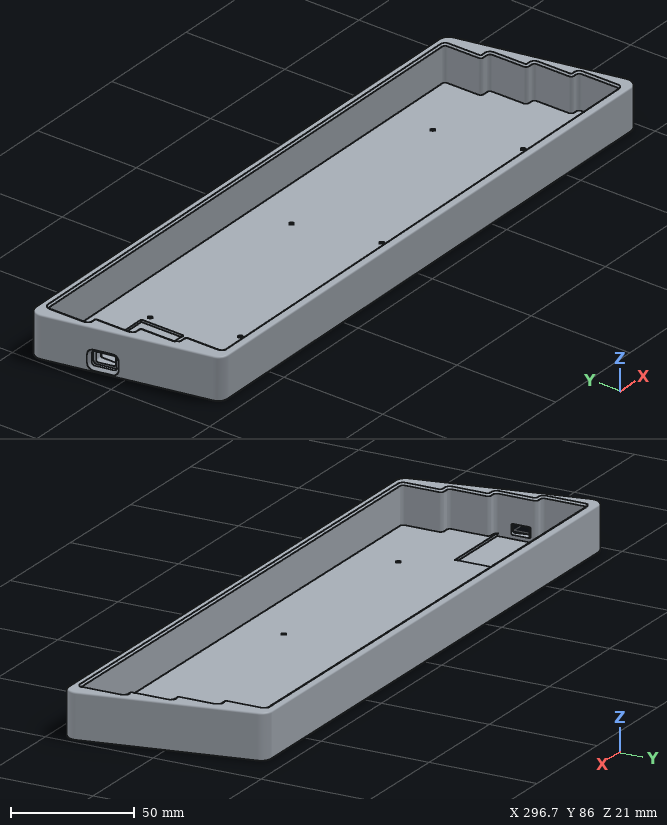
import cadquery as cq
import math

length = 296.7
width = 86.0
height = 21.0
slant = 17.2
corner_radius = 5.0
edge_radius = 1.0

wall = 4.2
floor = 3.0
cavity_radius = 1.5
rim_chamfer = 1.0
step_x = [-141.0, -136.5, -131.8, -126.5]
step_y = [18.0, -1.2, -20.2]

hole_diameter = 2.0
counterbore_diameter = 4.0
counterbore_depth = 2.5
hole_pitch = 95.3
hole_row_y = 19.3
back_row_x = -2.7
front_row_x = 6.8

pocket_left = step_x[1]
pocket_length = 35.0
pocket_back = 21.0
pocket_width = 21.5
pocket_depth = 1.2

port_y = 9.5
port_z = 6.0
recess_width = 14.2
recess_height = 9.8
recess_radius = 3.0
recess_bevel = 1.5
recess_depth = 3.0
opening_width = 9.0
opening_height = 4.7
opening_radius = 1.0

acute_angle = math.atan2(width, slant)
tangent_length = corner_radius / math.tan(acute_angle / 2)
sharp_half_length = length / 2 + tangent_length - corner_radius


def tray_blank():
    back, front = width / 2, -width / 2
    corners = [
        (-sharp_half_length, back),
        (sharp_half_length - slant, back),
        (sharp_half_length, front),
        (-sharp_half_length + slant, front),
    ]
    blank = cq.Workplane("XY").polyline(corners).close().extrude(height)
    blank = blank.edges("|Z").fillet(corner_radius)
    return blank.faces("<Z or >Z").edges().fillet(edge_radius)


def cavity():
    half_depth = width / 2 - wall
    levels = [half_depth] + step_y + [-half_depth]
    left_side = []
    for x, top, bottom in zip(step_x, levels, levels[1:]):
        left_side += [(x, top), (x, bottom)]
    right_side = [(-x, -y) for x, y in left_side]
    tool = cq.Workplane("XY").workplane(offset=floor).polyline(left_side + right_side).close()
    return tool.extrude(height - floor).edges("|Z").fillet(cavity_radius)


def chamfer_rim(tray):
    margin = wall / 4
    half_x = margin - step_x[0]
    half_y = margin + width / 2 - wall
    mouth = cq.selectors.BoxSelector(
        (-half_x, -half_y, height - margin),
        (half_x, half_y, height + margin),
    )
    return tray.faces(">Z").edges(mouth).chamfer(rim_chamfer)


def screw_holes():
    centres = []
    for middle_x, y in ((back_row_x, hole_row_y), (front_row_x, -hole_row_y)):
        centres += [(middle_x + i * hole_pitch, y) for i in (-1, 0, 1)]
    points = cq.Workplane("XY").pushPoints(centres)
    shanks = points.circle(hole_diameter / 2).extrude(floor)
    heads = points.circle(counterbore_diameter / 2).extrude(counterbore_depth)
    return shanks.union(heads)


def board_pocket():
    centre = (pocket_left + pocket_length / 2, pocket_back - pocket_width / 2)
    plane = cq.Workplane("XY").workplane(offset=floor - pocket_depth)
    return plane.center(*centre).rect(pocket_length, pocket_width).extrude(pocket_depth)


def rounded_rectangle(across, tall, radius):
    return cq.Sketch().rect(across, tall).vertices().fillet(radius)


def connector_port():
    face_x = -sharp_half_length + (width / 2 - port_y) * slant / width
    face = cq.Plane(
        origin=(face_x, port_y, port_z),
        xDir=(slant, -width, 0),
        normal=(width, slant, 0),
    )
    mouth_outline = rounded_rectangle(recess_width, recess_height, recess_radius)
    recess_outline = rounded_rectangle(
        recess_width - 2 * recess_bevel,
        recess_height - 2 * recess_bevel,
        recess_radius - recess_bevel,
    )
    opening_outline = rounded_rectangle(opening_width, opening_height, opening_radius)
    opening_depth = pocket_left + rim_chamfer - face_x

    mouth = cq.Workplane(face).placeSketch(mouth_outline).extrude(recess_bevel, taper=45)
    recess = cq.Workplane(face).placeSketch(recess_outline).extrude(recess_depth)
    opening = cq.Workplane(face).placeSketch(opening_outline).extrude(opening_depth)
    return mouth.union(recess).union(opening)


tray = chamfer_rim(tray_blank().cut(cavity()))
result = tray.cut(screw_holes()).cut(board_pocket()).cut(connector_port())